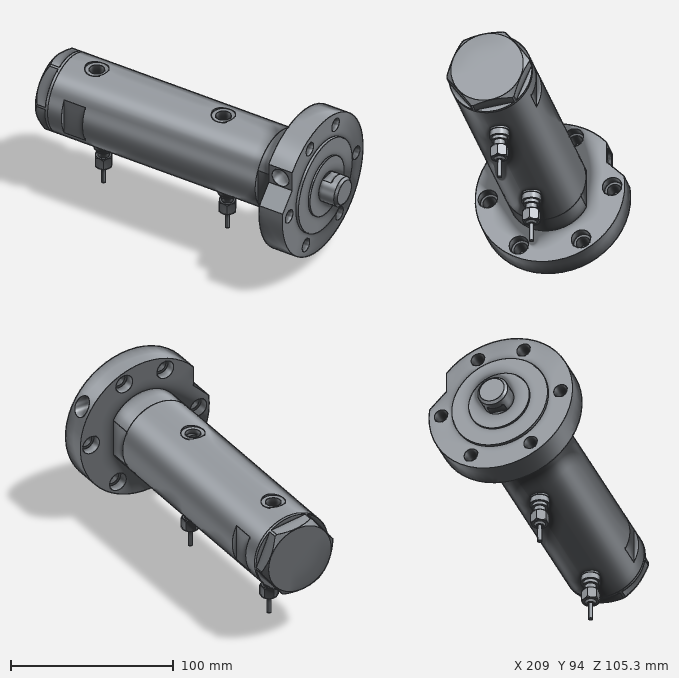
import cadquery as cq
import math


cap_hex_end = 9.0
barrel_start = 10.9
barrel_end = 160.7
flange_start = 176.5
flange_end = 193.3
pilot_end = 195.2
gland_end = 196.5
rod_head_start = 202.7
rod_end = 209.0

barrel_radius = 26.1
bore_radius = 16.0
counterbore_radius = 22.0
counterbore_start = 124.4
flat_offset = 23.0
flat_start = 21.0
flat_end = 36.2

port_stations = (30.3, 121.6)
port_radius = 4.8
spotface_radius = 7.5
spotface_height = 24.9

hex_apothem = 23.0
hex_twist = -6.9
cap_face_radius = 22.8
cap_chamfer_length = 3.0

flange_radius = 47.0
pilot_radius = 31.4
notch_y = -35.5
notch_corner_z = 17.3
bolt_circle_radius = 39.0
bolt_angles = (0, 67.5, 112.5, 180, 240, 300)
bolt_hole_radius = 4.4
bolt_recess_radius = 6.0
bolt_recess_depth = 6.3
cross_hole_radius = 6.0
cross_hole_z = 23.8

gland_radius = 19.9
nose_radius = 21.5
nose_end = 129.5

rod_radius = 9.8
rod_flat_offset = 8.2
rod_tip_chamfer = 1.7
piston_end = 41.8

sensor_stations = (35.1, 124.5)
sensor_seat_z = -22.2
shank_radius = 5.9
collar_top_z = -27.4
collar_radius = 6.0
collar_bottom_z = -31.5
shoulder_radius = 4.8
shoulder_bottom_z = -33.9
neck_radius = 3.5
nut_top_z = -37.8
nut_bottom_z = -45.5
nut_apothem = 5.0
nut_chamfer = 0.8
cone_top_radius = 3.5
cone_bottom_radius = 2.3
cone_bottom_z = -46.8
cable_radius = 1.3
cable_end_z = -58.3


def cylinder_x(radius, start, end):
    """Cylinder on the X axis between two stations."""
    return cq.Workplane("YZ", origin=(start, 0, 0)).circle(radius).extrude(end - start)


def cylinder_z(x, radius, bottom, top):
    """Vertical cylinder that crosses the X axis line at station x."""
    return cq.Workplane("XY", origin=(x, 0, bottom)).circle(radius).extrude(top - bottom)


def side_slabs(start, end, offset, axis_z=False):
    """Pair of blocks beyond +/-offset in Y (or Z), for cutting parallel flats."""
    size = 2 * barrel_radius
    slabs = cq.Workplane("XY")
    for side in (-1, 1):
        shift = side * (offset + size / 2)
        centre = ((start + end) / 2, 0, shift) if axis_z else ((start + end) / 2, shift, 0)
        slabs = slabs.add(cq.Workplane("XY", origin=centre).box(end - start, size, size))
    return slabs.combine()


def hexagon_points(apothem, twist=0.0):
    corner_radius = apothem / math.cos(math.pi / 6)
    angles = [math.radians(twist + 60 * corner) for corner in range(6)]
    return [(corner_radius * math.cos(a), corner_radius * math.sin(a)) for a in angles]


def make_cap():
    hexagon = cq.Workplane("YZ").polyline(hexagon_points(hex_apothem, hex_twist)).close()
    head = hexagon.extrude(cap_hex_end)
    envelope = (
        cq.Workplane("XY")
        .moveTo(0, 0)
        .lineTo(0, cap_face_radius)
        .lineTo(cap_chamfer_length, barrel_radius)
        .lineTo(cap_hex_end, barrel_radius)
        .lineTo(cap_hex_end, 0)
        .close()
        .revolve(360, (0, 0, 0), (1, 0, 0))
    )
    return head.intersect(envelope).union(cylinder_x(barrel_radius, cap_hex_end, barrel_start))


def make_barrel():
    barrel = cylinder_x(barrel_radius, barrel_start, barrel_end)
    barrel = barrel.cut(cylinder_x(bore_radius, barrel_start, barrel_end))
    barrel = barrel.cut(cylinder_x(counterbore_radius, counterbore_start, barrel_end))
    barrel = barrel.cut(side_slabs(flat_start, flat_end, flat_offset))
    for x in port_stations:
        barrel = barrel.cut(cylinder_z(x, port_radius, 0, barrel_radius))
        barrel = barrel.cut(cylinder_z(x, spotface_radius, spotface_height, barrel_radius))
    for x in sensor_stations:
        barrel = barrel.cut(cylinder_z(x, shank_radius, -barrel_radius, sensor_seat_z))
    return barrel


def flange_notch():
    """Corner relief on the -Y side: an upright face, then a 45 degree slope outwards."""
    reach = flange_radius
    outer_y = notch_y - reach
    return (
        cq.Workplane("YZ", origin=(flange_start, 0, 0))
        .moveTo(notch_y, notch_corner_z)
        .lineTo(notch_y, reach)
        .lineTo(outer_y, reach)
        .lineTo(outer_y, notch_corner_z - reach)
        .close()
        .extrude(flange_end - flange_start)
    )


def make_head():
    neck = cylinder_x(barrel_radius, barrel_end, flange_start)
    neck = neck.cut(side_slabs(barrel_end, flange_start, flat_offset))
    flange = cylinder_x(flange_radius, flange_start, flange_end).cut(flange_notch())
    head = neck.union(flange).union(cylinder_x(pilot_radius, flange_end, pilot_end))

    for angle in bolt_angles:
        y = bolt_circle_radius * math.cos(math.radians(angle))
        z = bolt_circle_radius * math.sin(math.radians(angle))
        seat = cq.Workplane("YZ", origin=(flange_start, y, z))
        head = head.cut(seat.circle(bolt_hole_radius).extrude(flange_end - flange_start))
        head = head.cut(seat.circle(bolt_recess_radius).extrude(bolt_recess_depth))

    cross_x = (flange_start + flange_end) / 2
    cross_hole = (
        cq.Workplane("XZ", origin=(cross_x, 0, cross_hole_z))
        .circle(cross_hole_radius)
        .extrude(flange_radius, both=True)
    )
    head = head.cut(cross_hole)
    return head.cut(cylinder_x(gland_radius, barrel_end, pilot_end))


def make_gland():
    gland = cylinder_x(gland_radius, barrel_end, gland_end)
    gland = gland.union(cylinder_x(counterbore_radius, nose_end, barrel_end))
    gland = gland.union(cylinder_x(nose_radius, counterbore_start, nose_end))
    return gland.cut(cylinder_x(rod_radius, counterbore_start, gland_end))


def make_piston_rod():
    rod = cylinder_x(rod_radius, barrel_start, rod_end)
    rod = rod.faces(">X").chamfer(rod_tip_chamfer)
    rod = rod.cut(side_slabs(gland_end, rod_head_start, rod_flat_offset, axis_z=True))
    return rod.union(cylinder_x(bore_radius, barrel_start, piston_end))


def make_nut(x):
    height = nut_top_z - nut_bottom_z
    plane = cq.Workplane("XY", origin=(x, 0, nut_bottom_z))
    nut = plane.polyline(hexagon_points(nut_apothem)).close().extrude(height)
    corner_radius = nut_apothem / math.cos(math.pi / 6)
    envelope = plane.circle(corner_radius).extrude(height).faces("|Z").chamfer(nut_chamfer)
    return nut.intersect(envelope)


def make_sensor(x):
    sensor = (
        cylinder_z(x, shank_radius, collar_top_z, sensor_seat_z)
        .union(cylinder_z(x, collar_radius, collar_bottom_z, collar_top_z))
        .union(cylinder_z(x, shoulder_radius, shoulder_bottom_z, collar_bottom_z))
        .union(cylinder_z(x, neck_radius, nut_top_z, shoulder_bottom_z))
        .union(make_nut(x))
    )
    cone = (
        cq.Workplane("XY", origin=(x, 0, nut_bottom_z))
        .circle(cone_top_radius)
        .workplane(offset=cone_bottom_z - nut_bottom_z)
        .circle(cone_bottom_radius)
        .loft()
    )
    return sensor.union(cone).union(cylinder_z(x, cable_radius, cable_end_z, cone_bottom_z))


cap = make_cap()
barrel = make_barrel()
head = make_head()
gland = make_gland()
piston_rod = make_piston_rod()
sensors = [make_sensor(x) for x in sensor_stations]

result = cq.Compound.makeCompound(
    [
        cap.val(),
        barrel.val(),
        head.val(),
        gland.val(),
        piston_rod.val(),
        *[sensor.val() for sensor in sensors],
    ]
)